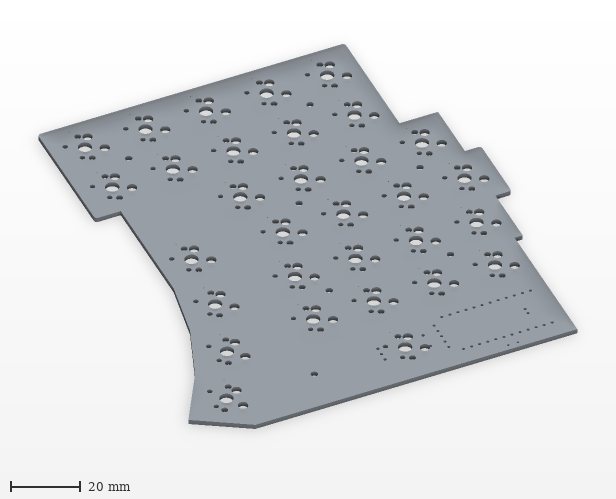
import cadquery as cq
import math


board_width = 140.7
board_height = 125.3
board_thickness = 1.5
corner_radius = 1.0

grid = 2.5
column_pitch = 7.5 * grid
column_span = 76.1
row_pitch = column_span / 4

first_column_x = 10.5
outer_column = (21.8, 5)
ring_column = (53.5, 4)
middle_column = (58.2, 4)
inner_column = (50.6, 4)
columns = [outer_column, outer_column, ring_column, middle_column, ring_column, inner_column]

fan_step = 10.0
thumb_keys = [(67.5, 29.5), (88.0, 27.7), (108.2, 22.4), (126.7, 13.8)]

encoder_x = 127.5
encoder_y = 69.6

stem_diameter = 4.1
contact_diameter = 3.0
peg_diameter = 2.0
solder_diameter = 1.5
via_diameter = 0.3
mount_diameter = 2.1
encoder_pin_diameter = 1.0
header_pin_diameter = 0.9
reset_pin_diameter = 0.75

via_x = -7.6
via_y = -1.4
key_holes = [
    (0, 0, stem_diameter),
    (-2 * grid, 0, peg_diameter),
    (2 * grid, 0, peg_diameter),
    (-1.5 * grid, grid, contact_diameter),
    (grid, 2 * grid, contact_diameter),
    (1.5 * grid, -grid, solder_diameter),
    (-grid, -2 * grid, solder_diameter),
    (via_x, via_y, via_diameter),
]

mount_holes = [
    (20.1, 88.2), (20.1, 31.2),
    (58.0, 105.6), (58.0, 67.7),
    (96.1, 98.0), (96.1, 59.9),
    (encoder_x, 41.1),
]

header_left_x = 119.8
header_top_y = 112.4
header_rows = 12
header_width = 6 * grid
header_end_y = 81.0
header_end_pins = 5

battery_x = 126.5
battery_y = 107.7
battery_pitch = 2.0
reset_x = 138.8
reset_y = 99.9
reset_pitch = 3.0

encoder_switch_y = 76.4
encoder_signal_y = 62.2

left_top = 108.2
ring_left, ring_top = 38.1, 120.3
tab_left, tab_right = 56.8, 78.0
inner_left, inner_top = 97.0, 117.7
right_bottom = 16.6
left_bottom = 11.7
notch_x = 40.1
thumb_edge_y = 19.7
fan_start_x = 77.0
fan_edge = 19.0
fan_facets = 2
tip_x = 130.8


def fan_points():
    """Corners of the faceted lower edge, each facet turned one fan step further down."""
    x, y = fan_start_x, thumb_edge_y
    points = [(x, y)]
    for facet in range(1, fan_facets + 1):
        angle = math.radians(facet * fan_step)
        x += fan_edge * math.cos(angle)
        y -= fan_edge * math.sin(angle)
        points.append((x, y))
    return points


def board():
    """Stepped plate without holes, rounded at the tab and the left block."""
    outline = [
        (0, left_bottom),
        (0, left_top),
        (ring_left, left_top),
        (ring_left, ring_top),
        (tab_left, ring_top),
        (tab_left, board_height),
        (tab_right, board_height),
        (tab_right, ring_top),
        (inner_left, ring_top),
        (inner_left, inner_top),
        (board_width, inner_top),
        (board_width, right_bottom),
        (tip_x, 0),
        *reversed(fan_points()),
        (notch_x, thumb_edge_y),
        (notch_x, left_bottom),
    ]
    plate = cq.Workplane("XY").polyline(outline).close().extrude(board_thickness)
    rounded = [
        (0, left_bottom), (0, left_top), (notch_x, left_bottom),
        (tab_left, board_height), (tab_right, board_height),
    ]
    for x, y in rounded:
        corner = cq.selectors.NearestToPointSelector((x, y, board_thickness / 2))
        plate = plate.edges("|Z").edges(corner).fillet(corner_radius)
    return plate


def pins(points, diameter):
    """Through-hole cutters of one diameter."""
    return cq.Workplane("XY").pushPoints(points).circle(diameter / 2).extrude(board_thickness).vals()


def key_cutters(centre_x, centre_y, clockwise=0.0):
    """Cutters for the holes of one key, turned about its centre."""
    angle = math.radians(-clockwise)
    cutters = []
    for x, y, diameter in key_holes:
        hole_x = centre_x + x * math.cos(angle) - y * math.sin(angle)
        hole_y = centre_y + x * math.sin(angle) + y * math.cos(angle)
        cutters += pins([(hole_x, hole_y)], diameter)
    return cutters


def all_keys():
    """Cutters for the column keys, the thumb keys and the key at the encoder."""
    cutters = key_cutters(encoder_x, encoder_y)
    for column, (bottom_y, count) in enumerate(columns):
        for row in range(count):
            cutters += key_cutters(first_column_x + column * column_pitch, bottom_y + row * row_pitch)
    for step, (x, y) in enumerate(thumb_keys):
        cutters += key_cutters(x, y, step * fan_step)
    return cutters


def header_points():
    """Pin centres: two side rows and one row across the lower end."""
    points = []
    for row in range(header_rows):
        y = header_top_y - row * grid
        points += [(header_left_x, y), (header_left_x + header_width, y)]
    for pin in range(header_end_pins):
        points.append((header_left_x + (pin + 1) * grid, header_end_y))
    return points


battery_points = [(battery_x, battery_y), (battery_x + battery_pitch, battery_y)]
reset_points = [(reset_x, reset_y), (reset_x, reset_y - reset_pitch)]
encoder_points = [(encoder_x + side * grid, encoder_switch_y) for side in (-1, 1)]
encoder_points += [(encoder_x + side * grid, encoder_signal_y) for side in (-1, 0, 1)]

holes = all_keys()
holes += pins(mount_holes, mount_diameter)
holes += pins(header_points() + battery_points, header_pin_diameter)
holes += pins(reset_points, reset_pin_diameter)
holes += pins(encoder_points, encoder_pin_diameter)

result = cq.Workplane(board().val().cut(*holes))